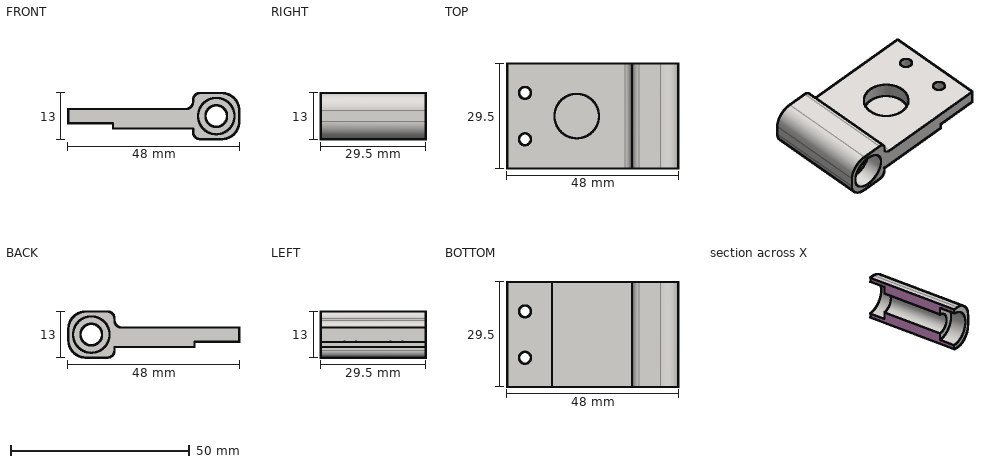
import cadquery as cq

length = 48.0
width = 29.5
height = 13.0

plate_top = 8.5
tip_bottom = 4.45
pad_bottom = 3.0
pad_start = 12.55

knuckle_start = 35.0
blend_radius = 2.0
nose_radius = 5.0

bore_x = 41.5
bore_z = height / 2
bore_diameter = 6.0
counterbore_diameter = 10.2
counterbore_depth = 5.0

pocket_x = 19.5
pocket_diameter = 12.5
pocket_depth = 4.5
screw_x = 5.0
screw_spacing = 13.0
screw_diameter = 3.25


def plate():
    """Flat plate with a thinner tip, running into the knuckle."""
    profile = [
        (0, tip_bottom),
        (pad_start, tip_bottom),
        (pad_start, pad_bottom),
        (bore_x, pad_bottom),
        (bore_x, plate_top),
        (0, plate_top),
    ]
    return cq.Workplane("XZ").polyline(profile).close().extrude(width / 2, both=True)


def knuckle():
    """Rounded bar with tight corners on the plate side and a large nose radius."""
    bar = cq.Workplane("XY").box(length - knuckle_start, width, height, centered=(False, True, False))
    bar = bar.edges("|Y and <X").fillet(blend_radius)
    bar = bar.edges("|Y and >X").fillet(nose_radius)
    return bar.translate((knuckle_start, 0, 0))


def blend():
    """Concave fillet between the plate top and the knuckle wall."""
    fillet_start = knuckle_start - blend_radius
    fillet_top = plate_top + blend_radius
    block = (
        cq.Workplane("XZ")
        .moveTo(fillet_start, plate_top)
        .lineTo(knuckle_start, plate_top)
        .lineTo(knuckle_start, fillet_top)
        .radiusArc((fillet_start, plate_top), blend_radius)
        .close()
    )
    return block.extrude(width / 2, both=True)


def bore():
    """Through bore with matching counterbores at both ends."""
    front = cq.Workplane("XZ", origin=(bore_x, -width / 2, bore_z))
    through = front.circle(bore_diameter / 2).extrude(-width)
    counterbore = front.circle(counterbore_diameter / 2).extrude(-counterbore_depth)
    return through.union(counterbore).union(counterbore.mirror("XZ"))


def plate_holes():
    """Blind round pocket and two through screw holes."""
    top = cq.Workplane("XY", origin=(0, 0, plate_top))
    pocket = top.center(pocket_x, 0).circle(pocket_diameter / 2).extrude(-pocket_depth)
    screw_points = [(screw_x, side * screw_spacing / 2) for side in (-1, 1)]
    screws = top.pushPoints(screw_points).circle(screw_diameter / 2).extrude(-plate_top)
    return pocket.union(screws)


body = plate().union(knuckle()).union(blend())
result = body.cut(bore()).cut(plate_holes())